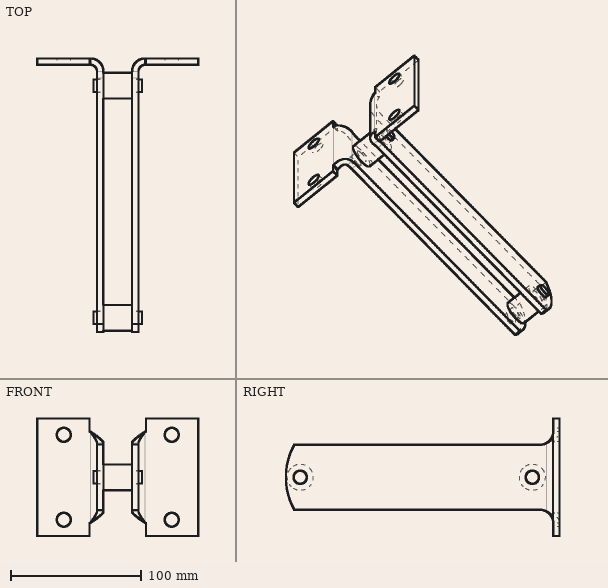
import cadquery as cq
import math


sheet = 5.0
gap = 21.8
length = 210.0
leg_width = 50.0
tip_rise = 6.5
bend_inner_radius = 5.0
flare_radius = 10.0

overall_width = 123.7
flange_height = 90.0
flange_inner_x = 21.6
bolt_hole_diameter = 10.5
bolt_hole_x = 41.4
bolt_hole_spacing = 65.0

collar_diameter = 20.0
pin_end_diameter = 9.9
pin_hole_diameter = 10.3
pin_length = 37.2
first_pin_y = -21.0
second_pin_y = -198.9

leg_inner_x = gap / 2
leg_outer_x = leg_inner_x + sheet
bend_x = leg_outer_x + bend_inner_radius
bend_y = -(sheet + bend_inner_radius)
bend_outer_radius = bend_inner_radius + sheet
half_leg = leg_width / 2
flare_half_height = half_leg + flare_radius
flare_end_y = -(sheet + flare_radius)
pin_places = [first_pin_y, second_pin_y]

BEND_SECTIONS = 9
CUT_MARGIN = 2.0


def flare_half_height_at(y):
    """Half height of the flared edge at a given y on the inner side of the bend."""
    from_end = y - flare_end_y
    return flare_half_height - math.sqrt(max(flare_radius**2 - from_end**2, 0))


def make_flange():
    """Flat mounting plate with two bolt holes, and the short neck to the bend."""
    plate = cq.Workplane("XY").box(
        overall_width / 2 - flange_inner_x, sheet, flange_height, centered=(False, False, True)
    ).translate((flange_inner_x, -sheet, 0))
    neck = cq.Workplane("XY").box(
        flange_inner_x - bend_x, sheet, 2 * flare_half_height, centered=(False, False, True)
    ).translate((bend_x, -sheet, 0))
    bolt_holes = (
        cq.Workplane("XZ")
        .pushPoints([(bolt_hole_x, side * bolt_hole_spacing / 2) for side in (-1, 1)])
        .circle(bolt_hole_diameter / 2)
        .extrude(sheet)
    )
    return plate.cut(bolt_holes).union(neck)


def make_flare_cutter():
    """Solid above the flared upper edge of the bend, lofted through radial sections."""
    near = bend_inner_radius - CUT_MARGIN
    far = bend_outer_radius + CUT_MARGIN
    top = flare_half_height + CUT_MARGIN
    sections = []
    for index in range(BEND_SECTIONS):
        angle = math.pi / 2 * (1 + index / (BEND_SECTIONS - 1))
        across, along = math.cos(angle), math.sin(angle)
        edge_height = flare_half_height_at(bend_y + bend_inner_radius * along)
        corners = [(near, edge_height), (far, edge_height), (far, top), (near, top)]
        points = [cq.Vector(bend_x + r * across, bend_y + r * along, z) for r, z in corners]
        sections.append(cq.Wire.makePolygon(points, close=True))
    return cq.Workplane(cq.Solid.makeLoft(sections))


def make_bend():
    """Quarter-round bend whose upper and lower edges follow the flare."""
    diagonal = math.sqrt(0.5)
    outer_middle = (bend_x - bend_outer_radius * diagonal, bend_y + bend_outer_radius * diagonal)
    inner_middle = (bend_x - bend_inner_radius * diagonal, bend_y + bend_inner_radius * diagonal)
    bend = (
        cq.Workplane("XY")
        .moveTo(leg_inner_x, bend_y)
        .threePointArc(outer_middle, (bend_x, 0))
        .lineTo(bend_x, -sheet)
        .threePointArc(inner_middle, (leg_outer_x, bend_y))
        .close()
        .extrude(flare_half_height, both=True)
    )
    cutter = make_flare_cutter()
    return bend.cut(cutter).cut(cutter.mirror("XY"))


def make_leg():
    """Flat leg with flared root, rounded tip and two pin holes."""
    root_half = flare_half_height_at(bend_y)
    middle_y = (bend_y + flare_end_y) / 2
    middle_half = flare_half_height_at(middle_y)
    corner_y = -length + tip_rise
    leg = (
        cq.Workplane("YZ", origin=(leg_inner_x, 0, 0))
        .moveTo(bend_y, -root_half)
        .lineTo(bend_y, root_half)
        .threePointArc((middle_y, middle_half), (flare_end_y, half_leg))
        .lineTo(corner_y, half_leg)
        .threePointArc((-length, 0), (corner_y, -half_leg))
        .lineTo(flare_end_y, -half_leg)
        .threePointArc((middle_y, -middle_half), (bend_y, -root_half))
        .close()
        .extrude(sheet)
    )
    pin_holes = (
        cq.Workplane("YZ", origin=(leg_inner_x, 0, 0))
        .pushPoints([(y, 0) for y in pin_places])
        .circle(pin_hole_diameter / 2)
        .extrude(sheet)
    )
    return leg.cut(pin_holes)


def make_bracket(side):
    """One bent bracket: side +1 lies at +X, side -1 is its mirror image."""
    bracket = make_flange().union(make_bend()).union(make_leg())
    return bracket if side > 0 else bracket.mirror("YZ")


def make_cross_cylinder(diameter, width, y):
    """Cylinder along X, centred between the brackets at a given y."""
    return cq.Workplane("YZ", origin=(-width / 2, y, 0)).circle(diameter / 2).extrude(width)


def make_pin(y):
    """Pin with a collar that fills the gap and two thin ends through the legs."""
    collar = make_cross_cylinder(collar_diameter, gap, y)
    ends = make_cross_cylinder(pin_end_diameter, pin_length, y)
    return collar.union(ends)


brackets = [make_bracket(side) for side in (-1, 1)]
pins = [make_pin(y) for y in pin_places]

result = cq.Compound.makeCompound([body.solids().val() for body in brackets + pins])